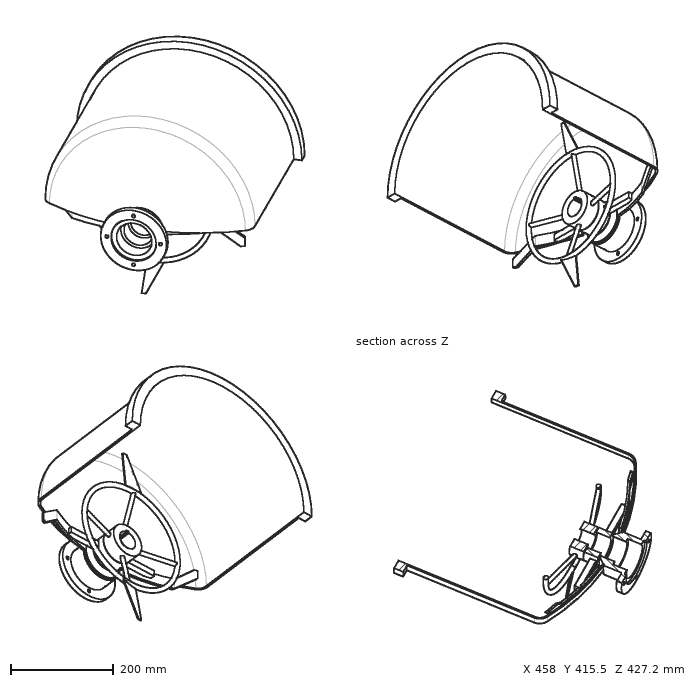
import cadquery as cq
import math


tank_radius = 212.5
wall = 4.0
rim_radius = 229.0
rim_thickness = 20.5
shell_depth = 296.5
knuckle_radius = 25.0
crown_radius = 2 * tank_radius

neck_front_depth = 415.5
neck_flange_radius = 67.0
neck_flange_thickness = 11.5
neck_radius = 46.2
neck_bore_radius = 35.5
neck_recess_radius = 46.0
neck_recess_depth = 4.5
neck_spigot_radius = 42.5
neck_nose_radius = 34.0
neck_nose_depth = 351.0
neck_lip_radius = 29.5
neck_lip_thickness = 29.8
bolt_circle_radius = 54.5
bolt_hole_diameter = 6.5
bolt_count = 4

hub_radius = 35.5
hub_length = 30.0
hub_gap = 1.0
rear_hub_depth = 287.0
front_hub_depth = rear_hub_depth + hub_length + hub_gap
rear_bore_radius = 19.5
front_bore_radius = 24.5
keyway_width = 6.5
keyway_top = 23.5

ring_radius = 118.5
ring_wire_radius = 5.0
ring_depth = 276.5
spoke_radius = 4.35
spoke_count = 4
spoke_turn = 3.5
spoke_root_radius = 27.5
spoke_root_depth = 302.5
blade_tip_radius = 198.2
blade_rear_depth = 272.0
blade_thickness = 2.7
blade_pitch = 0.15
blade_base_left = -12.0
blade_base_right = 23.5
blade_tip_left = -24.0
blade_tip_right = -15.0

plate_thickness = 5.0
plate_sweep_radius = 357.0
plate_apex_depth = 362.0
plate_inner_x = 49.5
fold_x = 149.5
wing_tip_x = 196.0
wing_tip_depth = 312.5
plate_half_height = 12.0
plate_slope = 0.065
fold_height = 8.2
wing_tip_top = -19.5
wing_tip_bottom = -39.0
wing_corner_x = 188.5
arm_end_x = 105.5
arm_rear_depth = 332.5
arm_front_depth = 345.0
arm_height = 13.7


def cylinder(radius, start_depth, end_depth):
    """Cylinder on the drum axis between two depths."""
    return (
        cq.Workplane("XZ", origin=(0, -start_depth, 0))
        .circle(radius)
        .extrude(end_depth - start_depth)
    )


def revolve_about_axis(profile, angle):
    return profile.close().revolve(angle, (0, 0, 0), (0, -1, 0))


def half_turn(solid):
    return solid.rotate((0, 0, 0), (0, 1, 0), 180)


knuckle_center_radius = tank_radius - knuckle_radius
center_distance = crown_radius - knuckle_radius
crown_center_depth = shell_depth - math.sqrt(center_distance**2 - knuckle_center_radius**2)
tangent_angle = math.asin(knuckle_center_radius / center_distance)


def crown_depth_at(radius, offset=0.0):
    """Depth of the crown at a distance from the axis, moved inward by the offset."""
    return crown_center_depth + math.sqrt((crown_radius - offset) ** 2 - radius**2)


neck_shoulder_depth = crown_depth_at(neck_radius)


def knuckle_point(offset, angle):
    """Profile point on the knuckle, moved inward by the offset; angle is from the drum axis."""
    radius = knuckle_radius - offset
    return (
        knuckle_center_radius + radius * math.sin(angle),
        -shell_depth - radius * math.cos(angle),
    )


def crown_point(offset, angle):
    radius = crown_radius - offset
    return (radius * math.sin(angle), -crown_center_depth - radius * math.cos(angle))


def make_tank():
    """Half shell above z = 0, with a stepped hole in the head that fits the neck."""
    middle_angle = (tangent_angle + math.pi / 2) / 2
    profile = (
        cq.Workplane("XY")
        .moveTo(tank_radius - wall, 0)
        .lineTo(rim_radius, 0)
        .lineTo(rim_radius, -rim_thickness)
        .lineTo(tank_radius, -rim_thickness)
        .lineTo(tank_radius, -shell_depth)
        .threePointArc(knuckle_point(0, middle_angle), knuckle_point(0, tangent_angle))
        .threePointArc(crown_point(0, tangent_angle / 2), (neck_radius, -neck_shoulder_depth))
        .lineTo(neck_spigot_radius, -neck_shoulder_depth)
        .lineTo(neck_spigot_radius, -crown_depth_at(neck_spigot_radius, wall))
        .threePointArc(crown_point(wall, tangent_angle / 2), crown_point(wall, tangent_angle))
        .threePointArc(knuckle_point(wall, middle_angle), (tank_radius - wall, -shell_depth))
    )
    return revolve_about_axis(profile, 180)


def make_neck():
    flange_rear_depth = neck_front_depth - neck_flange_thickness
    spigot_end_depth = neck_shoulder_depth - wall
    lip_depth = neck_nose_depth + neck_lip_thickness
    recess_floor_depth = neck_front_depth - neck_recess_depth
    profile = cq.Workplane("XY").polyline(
        [
            (neck_lip_radius, -neck_nose_depth),
            (neck_nose_radius, -neck_nose_depth),
            (neck_spigot_radius, -spigot_end_depth),
            (neck_spigot_radius, -neck_shoulder_depth),
            (neck_radius, -neck_shoulder_depth),
            (neck_radius, -flange_rear_depth),
            (neck_flange_radius, -flange_rear_depth),
            (neck_flange_radius, -neck_front_depth),
            (neck_recess_radius, -neck_front_depth),
            (neck_recess_radius, -recess_floor_depth),
            (neck_bore_radius, -recess_floor_depth),
            (neck_bore_radius, -lip_depth),
            (neck_lip_radius, -lip_depth),
        ]
    )
    neck = revolve_about_axis(profile, 360)
    bolt_holes = (
        cq.Workplane("XZ", origin=(0, -flange_rear_depth, 0))
        .polarArray(bolt_circle_radius, 0, 360, bolt_count)
        .circle(bolt_hole_diameter / 2)
        .extrude(neck_flange_thickness)
    )
    return neck.cut(bolt_holes)


def bore_with_keyway(radius, start_depth):
    keyway = (
        cq.Workplane("XZ", origin=(0, -start_depth, 0))
        .center(0, keyway_top / 2)
        .rect(keyway_width, keyway_top)
        .extrude(hub_length)
    )
    return cylinder(radius, start_depth, start_depth + hub_length).union(keyway)


def make_spoke():
    """Downward spoke, slanting back from the rear hub to the ring."""
    root = cq.Vector(0, -spoke_root_depth, -spoke_root_radius)
    end = cq.Vector(0, -ring_depth, -ring_radius)
    direction = end - root
    return cq.Workplane(cq.Solid.makeCylinder(spoke_radius, direction.Length, root, direction))


def blade_section(left, right):
    """Corners of the pitched blade, whose left edge stands further forward than its right edge."""
    left_depth = blade_rear_depth + blade_pitch * (right - left)
    return [
        (right, -blade_rear_depth),
        (left, -left_depth),
        (left, -left_depth - blade_thickness),
        (right, -blade_rear_depth - blade_thickness),
    ]


def make_blade():
    """Downward pitched blade, tapering in width from the ring to its tip."""
    return (
        cq.Workplane("XY", origin=(0, 0, -blade_tip_radius))
        .polyline(blade_section(blade_tip_left, blade_tip_right))
        .close()
        .workplane(offset=blade_tip_radius - ring_radius)
        .polyline(blade_section(blade_base_left, blade_base_right))
        .close()
        .loft(ruled=True)
    )


def make_ring_agitator():
    agitator = cylinder(hub_radius, rear_hub_depth, rear_hub_depth + hub_length)
    ring = cq.Solid.makeTorus(
        ring_radius, ring_wire_radius, cq.Vector(0, -ring_depth, 0), cq.Vector(0, 1, 0)
    )
    spoke = make_spoke()
    for index in range(spoke_count):
        angle = -spoke_turn + index * 360 / spoke_count
        agitator = agitator.union(spoke.rotate((0, 0, 0), (0, 1, 0), angle))
    agitator = agitator.cut(bore_with_keyway(rear_bore_radius, rear_hub_depth))
    blade = make_blade()
    for piece in (cq.Workplane(ring), blade, half_turn(blade)):
        agitator = agitator.union(piece, clean=False)
    return agitator


def make_scraper_plate():
    """Curved plate and bent wing on the +X side: a bent strip trimmed to its front outline."""

    def sweep_point(x, inset):
        radius = plate_sweep_radius - inset
        center_depth = plate_apex_depth - plate_sweep_radius
        return (x, -center_depth - math.sqrt(radius**2 - x**2))

    arc_middle_x = (plate_inner_x + fold_x) / 2
    strip = (
        cq.Workplane("XY", origin=(0, 0, -rim_radius / 2))
        .moveTo(*sweep_point(plate_inner_x, 0))
        .threePointArc(sweep_point(arc_middle_x, 0), sweep_point(fold_x, 0))
        .lineTo(wing_tip_x, -wing_tip_depth)
        .lineTo(wing_tip_x, -wing_tip_depth + plate_thickness)
        .lineTo(*sweep_point(fold_x, plate_thickness))
        .threePointArc(
            sweep_point(arc_middle_x, plate_thickness),
            sweep_point(plate_inner_x, plate_thickness),
        )
        .close()
        .extrude(rim_radius)
    )
    inner_height = fold_height - plate_slope * (fold_x - plate_inner_x)
    outline = (
        cq.Workplane("XZ")
        .polyline(
            [
                (plate_inner_x, inner_height + plate_half_height),
                (fold_x, fold_height + plate_half_height),
                (wing_tip_x, wing_tip_top),
                (wing_tip_x, wing_tip_bottom),
                (wing_corner_x, wing_tip_bottom),
                (fold_x, fold_height - plate_half_height),
                (plate_inner_x, inner_height - plate_half_height),
            ]
        )
        .close()
        .extrude(neck_front_depth)
    )
    return strip.intersect(outline)


def make_scraper():
    hub = cylinder(hub_radius, front_hub_depth, front_hub_depth + hub_length)
    arm = (
        cq.Workplane("XZ", origin=(0, -arm_rear_depth, 0))
        .center(arm_end_x / 2, 0)
        .rect(arm_end_x, arm_height)
        .extrude(arm_front_depth - arm_rear_depth)
    )
    wing = make_scraper_plate().union(arm)
    scraper = hub.union(wing).union(half_turn(wing))
    return scraper.cut(bore_with_keyway(front_bore_radius, front_hub_depth))


tank = make_tank()
neck = make_neck()
ring_agitator = make_ring_agitator()
scraper = make_scraper()

result = cq.Compound.makeCompound([tank.val(), neck.val(), ring_agitator.val(), scraper.val()])